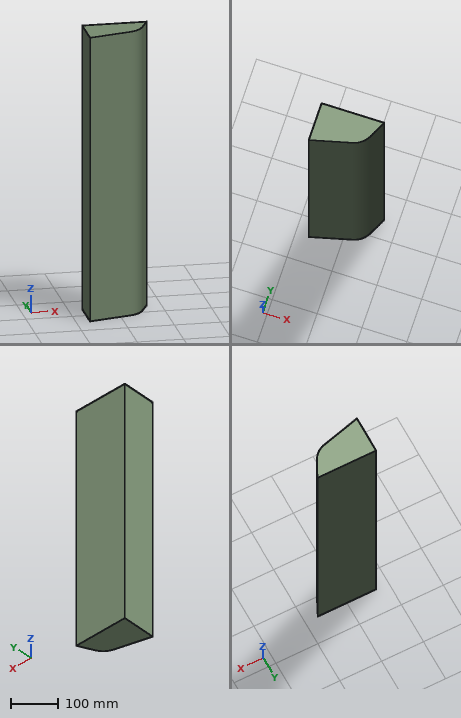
import cadquery as cq

length = 630.0
width = 140.0
depth = 87.0

corner_x = 112.0
corner_y = 29.0
corner_radius = 47.0

bar = (
    cq.Workplane("XY")
    .polyline([(0, 0), (corner_x, corner_y), (width, depth), (0, depth)])
    .close()
    .extrude(length)
)

corner_edge = cq.selectors.NearestToPointSelector((corner_x, corner_y, length / 2))
result = bar.edges("|Z").edges(corner_edge).fillet(corner_radius)